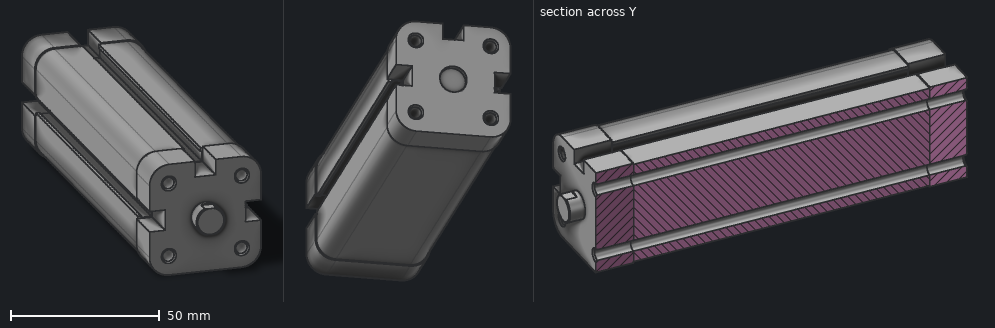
import cadquery as cq

total_length = 145.0
rod_protrusion = 6.0
cap_length = 14.0
housing_length = total_length - rod_protrusion
tube_length = housing_length - 2 * cap_length

cap_width = 39.5
cap_corner_radius = 7.0
cap_slot_width = 7.2
cap_slot_depth = 5.5

tube_inset = 0.5
tube_width = cap_width - 2 * tube_inset
tube_corner_radius = cap_corner_radius - tube_inset
tube_slot_width = 6.5
tube_slot_depth = 4.8
slot_mouth_width = 5.7
slot_lip_thickness = 1.3

hole_pitch = 25.8
hole_diameter = 4.0
hole_chamfer = 0.6

recess_diameter = 9.3
recess_depth = 2.0

rod_diameter = 10.0
rod_flat_spacing = 9.1
rod_flat_start = 1.7
rod_tip_chamfer = 0.36

slot_angles = (0, 90, -90)


def square_bar(width, corner_radius, length):
    """Round-cornered square bar along X, starting at X = 0."""
    return cq.Workplane("YZ").rect(width, width).extrude(length).edges("|X").fillet(corner_radius)


def groove(bar_width, groove_width, depth, length):
    """Block that cuts a straight groove into the top of a bar."""
    return (
        cq.Workplane("XY", origin=(0, 0, bar_width / 2 - depth))
        .rect(length, groove_width)
        .extrude(depth)
        .translate((length / 2, 0, 0))
    )


def cut_slots(bar, cutter):
    """Cut the same groove into the top, +Y and -Y sides."""
    for angle in slot_angles:
        bar = bar.cut(cutter.rotate((0, 0, 0), (1, 0, 0), angle))
    return bar


def drill_holes(bar):
    """Drill the four lengthwise holes."""
    return (
        bar.faces("<X")
        .workplane(origin=(0, 0, 0))
        .rect(hole_pitch, hole_pitch, forConstruction=True)
        .vertices()
        .hole(hole_diameter)
    )


def make_cap(outer_face):
    """Slotted end cap whose hole mouths are chamfered in the selected outer face."""
    cap = square_bar(cap_width, cap_corner_radius, cap_length)
    cap = cut_slots(cap, groove(cap_width, cap_slot_width, cap_slot_depth, cap_length))
    cap = drill_holes(cap)
    hole_rims = cap.faces(outer_face).edges("%CIRCLE").edges(cq.selectors.RadiusNthSelector(0))
    return hole_rims.chamfer(hole_chamfer)


def make_rear_cap():
    """Rear cap with a shallow round recess in its outer face."""
    recess = cq.Workplane("YZ").circle(recess_diameter / 2).extrude(recess_depth)
    return make_cap("<X").cut(recess)


def make_tube():
    """Profile tube with three slots narrowed by lips at their mouths."""
    tube = square_bar(tube_width, tube_corner_radius, tube_length)
    mouth = groove(tube_width, slot_mouth_width, tube_slot_depth, tube_length)
    undercut = groove(
        tube_width - 2 * slot_lip_thickness,
        tube_slot_width,
        tube_slot_depth - slot_lip_thickness,
        tube_length,
    )
    tube = cut_slots(tube, mouth.union(undercut))
    return drill_holes(tube).translate((cap_length, 0, 0))


def make_front_cap():
    """Front cap with a through bore for the rod."""
    bore = cq.Workplane("YZ").circle(rod_diameter / 2).extrude(cap_length)
    return make_cap(">X").cut(bore).translate((cap_length + tube_length, 0, 0))


def make_rod():
    """Rod seated on the tube end, with a flat above and below on its tip."""
    rod_start = cap_length + tube_length
    rod = (
        cq.Workplane("YZ", origin=(rod_start, 0, 0))
        .circle(rod_diameter / 2)
        .extrude(total_length - rod_start)
        .faces(">X")
        .chamfer(rod_tip_chamfer)
    )
    flat_length = rod_protrusion - rod_flat_start
    flat_depth = (rod_diameter - rod_flat_spacing) / 2
    flat_cutter = groove(rod_diameter, rod_diameter, flat_depth, flat_length).translate(
        (total_length - flat_length, 0, 0)
    )
    return rod.cut(flat_cutter).cut(flat_cutter.mirror("XY"))


rear_cap = make_rear_cap()
tube = make_tube()
front_cap = make_front_cap()
rod = make_rod()

result = cq.Compound.makeCompound([rear_cap.val(), tube.val(), front_cap.val(), rod.val()])